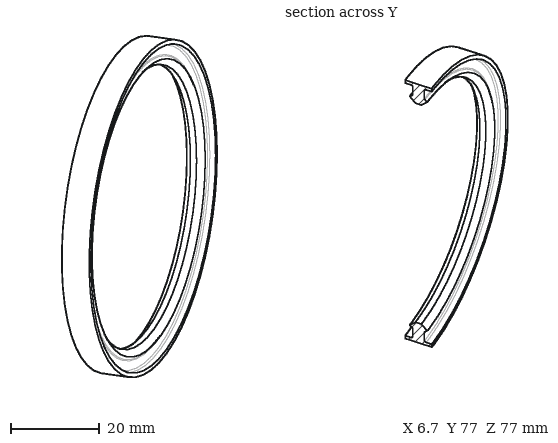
import cadquery as cq

width = 6.7
outer_radius = 77 / 2
bore_radius = 65 / 2

recess_radius = 75 / 2
recess_depth = 1.85
recess_fillet_radius = 0.4

lip_radius = 34.0
lip_depth = 1.1

lip_foot_radius = lip_radius + (recess_depth - lip_depth)
bore_start_depth = lip_depth + (lip_radius - bore_radius)

end_face = width / 2
recess_floor = end_face - recess_depth
lip_crest = end_face - lip_depth
bore_end = end_face - bore_start_depth

position_tolerance = 0.001


def make_sharp_ring():
    """Revolve the ring's section, given as (x, radius) points, about the X axis."""
    back_half = [
        (bore_end, bore_radius),
        (lip_crest, lip_radius),
        (recess_floor, lip_foot_radius),
        (recess_floor, recess_radius),
        (end_face, recess_radius),
        (end_face, outer_radius),
    ]
    front_half = [(-x, radius) for x, radius in reversed(back_half)]
    section = cq.Workplane("XY").polyline(back_half + front_half).close()
    return section.revolve(360, (0, 0, 0), (1, 0, 0))


def is_on_recess_floor(edge):
    return abs(abs(edge.Center().x) - recess_floor) < position_tolerance


def round_recess_floors(ring):
    """Fillet the inner and outer circles that bound each recess floor."""
    return ring.edges("%CIRCLE").filter(is_on_recess_floor).fillet(recess_fillet_radius)


result = round_recess_floors(make_sharp_ring())